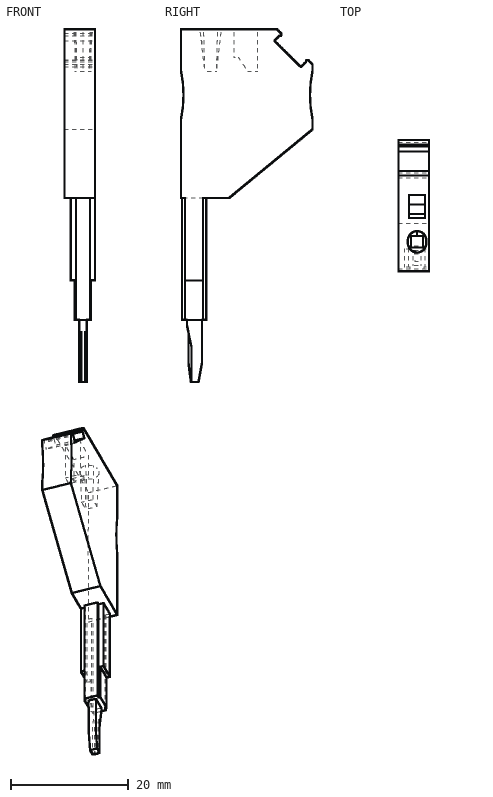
import cadquery as cq

housing_width = 5.2
housing_depth = 22.3
total_height = 59.85
housing_bottom = 31.2
sloped_base_start = 8.15
back_bottom = 42.85

hollow_bottom = 44.65
hollow_top = 52.7
hollow_sag = 0.4

top_edge_depth = 16.3
back_top = 53.85
hook_bevel = 0.8
recess_depth = 1.2
lip_size = 0.2

bar_x = (2.0, 4.35)
bar_y = (0.2, 4.3)
flange_y = (0.7, 3.75)
upper_flange_x = (1.1, housing_width)
lower_flange_x = (1.7, 4.5)
flange_step = 17.25
stem_bottom = 10.55

blade_x = (2.5, 3.8)
blade_rib_x = (2.9, 3.5)
blade_front = 1.0
blade_back = 3.6
tip_front = 1.7
tip_back = 3.0
narrowed_front = 1.25
tip_taper_height = 3.25
front_taper_top = 9.6
relief_y = 1.8
relief_bend = 6.0

opening_depth = 7.2
slot_x = (1.8, 4.5)
slot_y = (9.05, 13.0)
slot_ramp_y = (9.75, 11.35)
slot_ramp_rise = 2.4
funnel_center = (3.2, 5.0)
funnel_mouth = (3.25, 3.65)
funnel_floor = (2.05, 2.0)


def block(x_range, y_range, z_range):
    """Box spanning the given ranges."""
    spans = [r[1] - r[0] for r in (x_range, y_range, z_range)]
    corner = (x_range[0], y_range[0], z_range[0])
    return cq.Workplane("XY").box(*spans, centered=False).translate(corner)


def extrude_yz(sketch, x_range):
    """Extrude a closed YZ outline over an X range."""
    return sketch.extrude(x_range[1] - x_range[0]).translate((x_range[0], 0, 0))


def make_housing():
    top_tip = (top_edge_depth + hook_bevel, total_height - hook_bevel)
    back_tip = (housing_depth - hook_bevel, back_top + hook_bevel)
    top_root = (top_tip[0] - recess_depth, top_tip[1] - recess_depth)
    back_root = (back_tip[0] - recess_depth, back_tip[1] - recess_depth)
    hollow_middle = (hollow_bottom + hollow_top) / 2
    outline = (
        cq.Workplane("YZ")
        .moveTo(0, housing_bottom)
        .lineTo(0, hollow_bottom)
        .threePointArc((hollow_sag, hollow_middle), (0, hollow_top))
        .lineTo(0, total_height)
        .lineTo(top_edge_depth, total_height)
        .lineTo(*top_tip)
        .lineTo(top_tip[0] - lip_size / 2, top_tip[1] - 2 * lip_size)
        .lineTo(top_tip[0] - 2 * lip_size, top_tip[1] - 2 * lip_size)
        .lineTo(*top_root)
        .lineTo(*back_root)
        .lineTo(back_tip[0] - 2 * lip_size, back_tip[1] - 2 * lip_size)
        .lineTo(back_tip[0] - 2 * lip_size, back_tip[1] - lip_size / 2)
        .lineTo(*back_tip)
        .lineTo(housing_depth, back_top)
        .lineTo(housing_depth, hollow_top)
        .threePointArc((housing_depth - hollow_sag, hollow_middle), (housing_depth, hollow_bottom))
        .lineTo(housing_depth, back_bottom)
        .lineTo(sloped_base_start, housing_bottom)
        .close()
    )
    return extrude_yz(outline, (0, housing_width))


def make_stem():
    bar = block(bar_x, bar_y, (stem_bottom, housing_bottom))
    upper_flange = block(upper_flange_x, flange_y, (flange_step, housing_bottom))
    lower_flange = block(lower_flange_x, flange_y, (stem_bottom, flange_step))
    return bar.union(upper_flange).union(lower_flange)


def make_blade():
    taper_slope = (front_taper_top - relief_bend) / (relief_y - blade_front)
    rib_top = front_taper_top - taper_slope * (narrowed_front - blade_front)
    outline = cq.Workplane("YZ").polyline([
        (blade_front, stem_bottom),
        (blade_front, front_taper_top),
        (narrowed_front, rib_top),
        (narrowed_front, tip_taper_height),
        (tip_front, 0),
        (tip_back, 0),
        (blade_back, tip_taper_height),
        (blade_back, stem_bottom),
    ]).close()
    blade = extrude_yz(outline, blade_x)
    for side in ((blade_x[0], blade_rib_x[0]), (blade_rib_x[1], blade_x[1])):
        relief = cq.Workplane("YZ").polyline([
            (0, 0),
            (relief_y, 0),
            (relief_y, relief_bend),
            (blade_front, front_taper_top),
            (0, front_taper_top),
        ]).close()
        blade = blade.cut(extrude_yz(relief, side))
    return blade


def make_slot():
    """Rectangular pocket with a ramp from a front ledge down to its floor."""
    floor = total_height - opening_depth
    ledge = floor + slot_ramp_rise
    outline = cq.Workplane("YZ").polyline([
        (slot_y[0], total_height),
        (slot_y[0], ledge),
        (slot_ramp_y[0], ledge),
        (slot_ramp_y[1], floor),
        (slot_y[1], floor),
        (slot_y[1], total_height),
    ]).close()
    return extrude_yz(outline, slot_x)


def make_funnel():
    """Oval mouth narrowing to a rectangular floor."""
    return (
        cq.Workplane("XY", origin=(*funnel_center, total_height))
        .ellipse(funnel_mouth[0] / 2, funnel_mouth[1] / 2)
        .workplane(offset=-opening_depth)
        .rect(*funnel_floor)
        .loft(combine=True)
    )


housing = make_housing().cut(make_slot()).cut(make_funnel())
result = housing.union(make_stem()).union(make_blade())